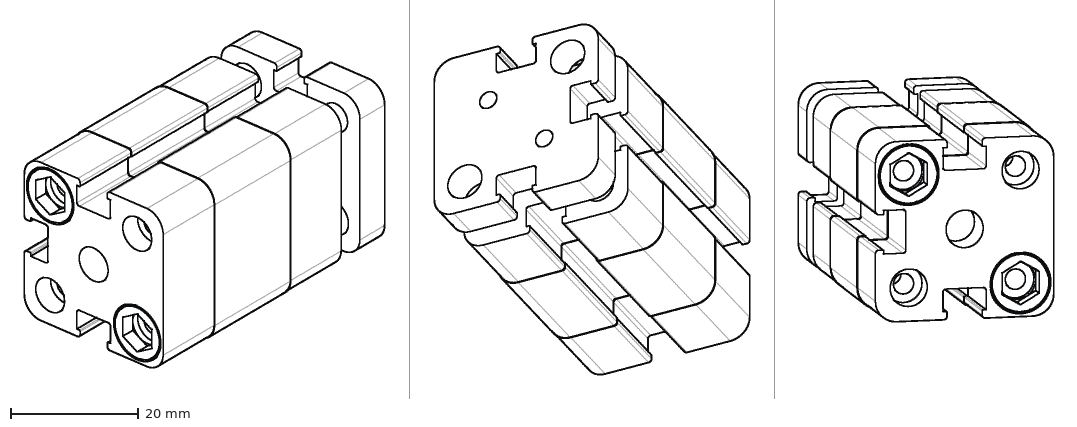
import cadquery as cq
import math


total_length = 53.5
plate_thickness = 6.0
rod_gap = 4.5
cap_length = 12.3
body_length = total_length - plate_thickness - rod_gap
barrel_length = body_length - 2 * cap_length

side = 29.05
corner_radius = 3.55
cap_inset = 0.1

slot_half_width = 3.35
slot_depth = 4.9
slot_floor_radius = 0.5
lip_height = 1.45
lip_half_gap = 2.75
lip_top_radius = 0.55
lip_bottom_radius = 0.15
slot_angles = (0, 90, 180)

hole_offset = 9.05
bore_diameter = 6.0
bore_depth = 3.6
through_diameter = 3.25
screw_seat_diameter = 9.8
screw_head_diameter = 9.2
screw_gap_depth = 0.6
hex_across_flats = 6.0
hex_depth = 2.4
center_hole_diameter = 6.0
center_hole_depth = 6.0
screw_corners = [(-hole_offset, hole_offset), (hole_offset, -hole_offset)]
open_corners = [(hole_offset, hole_offset), (-hole_offset, -hole_offset)]

plate_hole_diameter = 3.0
plate_hole_offset = 4.9
plate_hole_points = [
    (plate_hole_offset, plate_hole_offset),
    (-plate_hole_offset, -plate_hole_offset),
]

guide_rod_diameter = 5.0
guide_rod_offset = 9.35
piston_rod_diameter = 8.0
piston_rod_radius = piston_rod_diameter / 2
piston_rod_flat_width = 6.0
piston_rod_end_radius = 3.4
piston_rod_round_length = 1.35

rear_y = -total_length / 2
barrel_y = rear_y + cap_length
front_cap_y = barrel_y + barrel_length
body_front_y = rear_y + body_length
plate_y = body_front_y + rod_gap


def section_plane(y):
    """Plane at station y whose local axes are X, Z and whose normal is -Y."""
    return cq.Workplane("XZ", origin=(0, y, 0))


def cylinder(diameter, points, y_start, length):
    return section_plane(y_start).pushPoints(points).circle(diameter / 2).extrude(-length)


def half_slot(y, length, inset):
    """-X half of the +Z slot, widened and deepened by the inset; both lip edges are rounded."""
    top = side / 2 - inset
    lip_bottom = side / 2 - lip_height
    floor = side / 2 - slot_depth - inset
    tip = -lip_half_gap - inset
    wall = -slot_half_width - inset
    arc_mid_fraction = 1 - math.sqrt(0.5)
    lip_top_mid = lip_top_radius * arc_mid_fraction
    lip_bottom_mid = lip_bottom_radius * arc_mid_fraction
    floor_mid = slot_floor_radius * arc_mid_fraction
    return (
        section_plane(y)
        .moveTo(tip - lip_top_radius, top)
        .threePointArc((tip - lip_top_mid, top - lip_top_mid), (tip, top - lip_top_radius))
        .lineTo(tip, lip_bottom + lip_bottom_radius)
        .threePointArc(
            (tip - lip_bottom_mid, lip_bottom + lip_bottom_mid),
            (tip - lip_bottom_radius, lip_bottom),
        )
        .lineTo(wall, lip_bottom)
        .lineTo(wall, floor + slot_floor_radius)
        .threePointArc((wall + floor_mid, floor + floor_mid), (wall + slot_floor_radius, floor))
        .lineTo(0, floor)
        .lineTo(0, top)
        .close()
        .extrude(-length)
    )


def slotted_block(y, length, inset=0.0):
    width = side - 2 * inset
    block = section_plane(y).rect(width, width).extrude(-length)
    block = block.edges("|Y").fillet(corner_radius - inset)
    left_half = half_slot(y, length, inset)
    slot = left_half.union(left_half.mirror("YZ"))
    for angle in slot_angles:
        block = block.cut(slot.rotate((0, 0, 0), (0, 1, 0), -angle))
    return block


def piston_rod():
    """Rod with a rounded plate end, two wrench flats and 45 degree run-outs at the body."""
    drop = piston_rod_radius - piston_rod_end_radius
    arc_radius = (piston_rod_round_length**2 + drop**2) / (2 * drop)
    half_angle = math.asin(piston_rod_round_length / arc_radius) / 2
    round_y = plate_y - piston_rod_round_length
    profile = (
        cq.Workplane("XY")
        .moveTo(0, body_front_y)
        .lineTo(piston_rod_radius, body_front_y)
        .lineTo(piston_rod_radius, round_y)
        .threePointArc(
            (
                piston_rod_radius - arc_radius * (1 - math.cos(half_angle)),
                round_y + arc_radius * math.sin(half_angle),
            ),
            (piston_rod_end_radius, plate_y),
        )
        .lineTo(0, plate_y)
        .close()
    )
    rod = profile.revolve(360, (0, 0, 0), (0, 1, 0))
    flat_x = piston_rod_flat_width / 2
    runout_y = body_front_y + piston_rod_radius - flat_x
    flats = (
        cq.Workplane("XY")
        .polyline(
            [
                (flat_x, plate_y),
                (flat_x, runout_y),
                (piston_rod_radius, body_front_y),
                (piston_rod_radius, plate_y),
            ]
        )
        .close()
        .extrude(piston_rod_radius, both=True)
    )
    return rod.cut(flats).cut(flats.mirror("YZ"))


def hex_sockets():
    across_corners = hex_across_flats / math.cos(math.radians(30))
    socket = section_plane(rear_y).polygon(6, across_corners).extrude(-hex_depth)
    socket = socket.rotate((0, 0, 0), (0, 1, 0), 30)
    first, second = [socket.translate((x, 0, z)) for x, z in screw_corners]
    return first.union(second)


body = (
    slotted_block(rear_y, cap_length, cap_inset)
    .union(slotted_block(barrel_y, barrel_length))
    .union(slotted_block(front_cap_y, cap_length, cap_inset))
)

all_corners = screw_corners + open_corners
body = body.cut(cylinder(bore_diameter, all_corners, rear_y, bore_depth))
body = body.cut(cylinder(through_diameter, screw_corners, rear_y, body_length))
body = body.cut(cylinder(through_diameter, open_corners, rear_y, cap_length))
body = body.cut(hex_sockets())
body = body.cut(cylinder(center_hole_diameter, [(0, 0)], rear_y, center_hole_depth))

ring_gaps = cylinder(screw_seat_diameter, screw_corners, rear_y, screw_gap_depth).cut(
    cylinder(screw_head_diameter, screw_corners, rear_y, screw_gap_depth)
)
body = body.cut(ring_gaps)

plate = slotted_block(plate_y, plate_thickness, cap_inset)
plate = plate.cut(cylinder(bore_diameter, screw_corners, plate_y, plate_thickness))
plate = plate.cut(cylinder(plate_hole_diameter, plate_hole_points, plate_y, plate_thickness))

guide_corners = [(guide_rod_offset, guide_rod_offset), (-guide_rod_offset, -guide_rod_offset)]
guide_rods = cylinder(guide_rod_diameter, guide_corners, body_front_y, rod_gap)

result = body.union(plate).union(guide_rods).union(piston_rod())